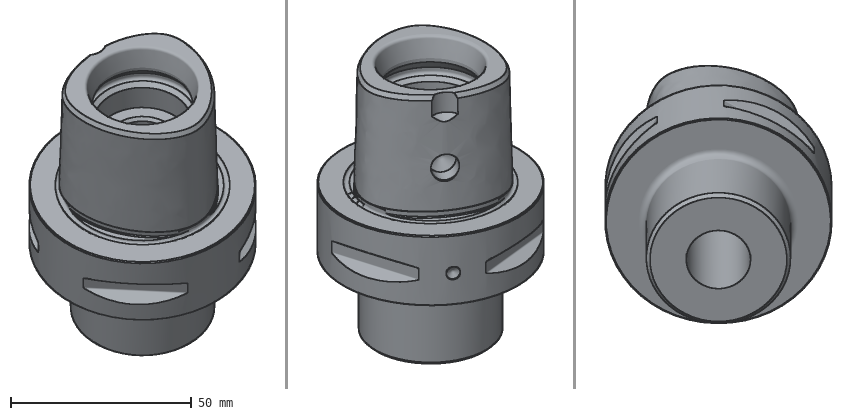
import cadquery as cq
import math

total_height = 85.0
flange_bottom = 25.0
flange_top = 47.1
gauge_height = 49.1

flange_diameter = 63.0
flange_chamfer = 0.3
shank_diameter = 40.0
shank_chamfer = 1.0
shank_fillet = 2.0

lobe_mean_radius = 22.0
lobe_eccentricity = 1.4
taper_per_side = 1 / 40
top_chamfer_height = 1.45
top_chamfer_angle = 30
curve_points = 72

neck_inset = 0.2
neck_step_height = 0.25
neck_base_chamfer = 0.3
relief_inner_radius = 22.5
relief_radius = 0.85

mouth_radius = 15.55
mouth_fillet = 1.1
lip_radius = 28.0 / 2
lip_start = 6.4
lip_end = 7.6
groove_radius = 32.0 / 2
groove_start = 10.3
groove_end = 12.3
groove_fillet = 1.0
bore_radius = 13.5
bore_start = 13.5
bore_depth = 21.1
through_diameter = 17.85
through_chamfer = 0.9

grip_height = 35.0
grip_distance = 28.0
grip_flat_width = 3.7
grip_side_angle = 30
grip_corner_radius = 0.5

drill_point_angle = 120
hole_diameter = 8.1
hole_height = 62.6
hole_straight_depth = 4.7
hole_flare = 0.5
mark_diameter = 4.0
mark_straight_depth = 0.4
mark_flare = 0.2
keyway_radius = 5.0
keyway_floor_distance = 18.0
keyway_depth = 6.3


def lobe_radius_at(height):
    """Mean radius of the tapered length at the given height."""
    return lobe_mean_radius - taper_per_side * (height - gauge_height)


def lobed_wire(mean_radius, height):
    """Closed three-lobed outline with one lobe pointing along +X."""
    e = lobe_eccentricity

    def point(t):
        x = mean_radius * math.cos(t) + 2 * e * math.cos(2 * t) - e * math.cos(4 * t)
        y = mean_radius * math.sin(t) - 2 * e * math.sin(2 * t) - e * math.sin(4 * t)
        return cq.Vector(x, y, height)

    points = [point(2 * math.pi * i / curve_points) for i in range(curve_points)]
    return cq.Wire.assembleEdges([cq.Edge.makeSpline(points, periodic=True)])


def lobed_section(bottom_radius, bottom, top_radius, top):
    """Solid with straight sides between two three-lobed outlines."""
    outlines = [lobed_wire(bottom_radius, bottom), lobed_wire(top_radius, top)]
    return cq.Workplane(obj=cq.Solid.makeLoft(outlines, True))


def revolved(profile):
    """Solid of revolution about the Z axis from a closed profile drawn in the XZ plane."""
    return profile.close().revolve(360, (0, 0, 0), (0, 1, 0))


def round_body():
    """Flange with the plain cylindrical shank below it."""
    shank_radius = shank_diameter / 2
    flange_radius = flange_diameter / 2
    profile = (
        cq.Workplane("XZ")
        .lineTo(shank_radius - shank_chamfer, 0)
        .lineTo(shank_radius, shank_chamfer)
        .lineTo(shank_radius, flange_bottom - shank_fillet)
        .radiusArc((shank_radius + shank_fillet, flange_bottom), shank_fillet)
        .lineTo(flange_radius - flange_chamfer, flange_bottom)
        .lineTo(flange_radius, flange_bottom + flange_chamfer)
        .lineTo(flange_radius, flange_top - flange_chamfer)
        .lineTo(flange_radius - flange_chamfer, flange_top)
        .lineTo(0, flange_top)
    )
    return revolved(profile)


def tapered_shank():
    """Neck with a flared base, tapered length and lead-in chamfer of the lobed shank."""
    neck_radius = lobe_mean_radius - neck_inset
    neck_top = gauge_height - neck_step_height
    chamfer_start = total_height - top_chamfer_height
    end_radius = lobe_radius_at(chamfer_start)
    tip_radius = end_radius - top_chamfer_height * math.tan(math.radians(top_chamfer_angle))

    neck_bottom = flange_top + neck_base_chamfer
    base_radius = neck_radius + neck_base_chamfer
    base = lobed_section(base_radius, flange_top, neck_radius, neck_bottom)
    neck = lobed_section(neck_radius, neck_bottom, neck_radius, neck_top)
    step = lobed_section(neck_radius, neck_top, lobe_mean_radius, gauge_height)
    taper = lobed_section(lobe_mean_radius, gauge_height, end_radius, chamfer_start)
    lead_in = lobed_section(end_radius, chamfer_start, tip_radius, total_height)
    return base.union(neck).union(step).union(taper).union(lead_in)


def relief_groove():
    """Ring that trims the lobes at the neck and runs round-bottomed into the flange."""
    inner = relief_inner_radius
    middle = inner + relief_radius
    outer = inner + 2 * relief_radius
    trim_top = gauge_height - neck_step_height
    profile = (
        cq.Workplane("XZ")
        .moveTo(middle, trim_top)
        .radiusArc((inner, trim_top - relief_radius), -relief_radius)
        .lineTo(inner, flange_top)
        .threePointArc((middle, flange_top - relief_radius), (outer, flange_top))
        .lineTo(outer, trim_top)
    )
    return revolved(profile)


def stepped_bore():
    """Conical mouth, lip, clamping groove and blind bore."""
    groove_corner = groove_end - groove_fillet
    fillet_middle = groove_fillet * (1 - math.sqrt(0.5))
    profile = (
        cq.Workplane("XZ", origin=(0, 0, total_height))
        .lineTo(mouth_radius, 0)
        .lineTo(lip_radius, -lip_start)
        .lineTo(lip_radius, -lip_end)
        .lineTo(groove_radius, -groove_start)
        .lineTo(groove_radius, -groove_corner)
        .threePointArc(
            (groove_radius - fillet_middle, -groove_end + fillet_middle),
            (groove_radius - groove_fillet, -groove_end),
        )
        .lineTo(bore_radius, -bore_start)
        .lineTo(bore_radius, -bore_depth)
        .lineTo(0, -bore_depth)
    )
    return revolved(profile)


def through_hole():
    """Central hole with a chamfer at the floor of the bore."""
    floor = total_height - bore_depth
    radius = through_diameter / 2
    profile = (
        cq.Workplane("XZ")
        .lineTo(radius, 0)
        .lineTo(radius, floor - through_chamfer)
        .lineTo(radius + through_chamfer, floor)
        .lineTo(0, floor)
    )
    return revolved(profile)


def grip_groove(angle):
    """Straight groove with sloping sides, cut across the flange at the given angle."""
    flange_radius = flange_diameter / 2
    half_flat = grip_flat_width / 2
    cut_depth = flange_radius - grip_distance
    half_mouth = half_flat + cut_depth * math.tan(math.radians(grip_side_angle))
    return (
        cq.Workplane("XZ", origin=(0, 0, grip_height))
        .moveTo(grip_distance, -half_flat)
        .lineTo(flange_radius, -half_mouth)
        .lineTo(flange_radius, half_mouth)
        .lineTo(grip_distance, half_flat)
        .close()
        .extrude(flange_radius, both=True)
        .faces("<X")
        .edges("|Y")
        .fillet(grip_corner_radius)
        .rotate((0, 0, 0), (0, 0, 1), angle)
    )


def side_hole(diameter, entry_distance, height, straight_depth, flare):
    """Blind hole along +X with a drill-point end and a flared mouth outside the entry distance."""
    radius = diameter / 2
    slope = math.tan(math.radians(drill_point_angle / 2))
    profile = (
        cq.Workplane("XZ")
        .moveTo(0, flare)
        .lineTo(radius + flare * slope, flare)
        .lineTo(radius, 0)
        .lineTo(radius, -straight_depth)
        .lineTo(0, -straight_depth - radius / slope)
    )
    return revolved(profile).rotate((0, 0, 0), (0, 1, 0), -90).translate((-entry_distance, 0, height))


def keyway():
    """Vertical round-sided notch with a 90 degree drill-point end, at the top of the -X side."""
    axis_distance = keyway_floor_distance + keyway_radius
    shoulder = total_height - keyway_depth
    profile = (
        cq.Workplane("XZ", origin=(-axis_distance, 0, 0))
        .moveTo(0, shoulder - keyway_radius)
        .lineTo(keyway_radius, shoulder)
        .lineTo(keyway_radius, total_height)
        .lineTo(0, total_height)
    )
    return revolved(profile)


result = round_body().union(tapered_shank()).cut(relief_groove())
result = result.cut(stepped_bore()).cut(through_hole())
result = result.faces(">Z").edges("%CIRCLE").fillet(mouth_fillet)

for quarter in range(4):
    result = result.cut(grip_groove(45 + 90 * quarter))

hole_edge_height = hole_height + hole_diameter / 2
hole_edge_distance = lobe_radius_at(hole_edge_height) - lobe_eccentricity
result = result.cut(
    side_hole(hole_diameter, hole_edge_distance, hole_height, hole_straight_depth, hole_flare)
)
result = result.cut(
    side_hole(mark_diameter, flange_diameter / 2, grip_height, mark_straight_depth, mark_flare)
)
result = result.cut(keyway())